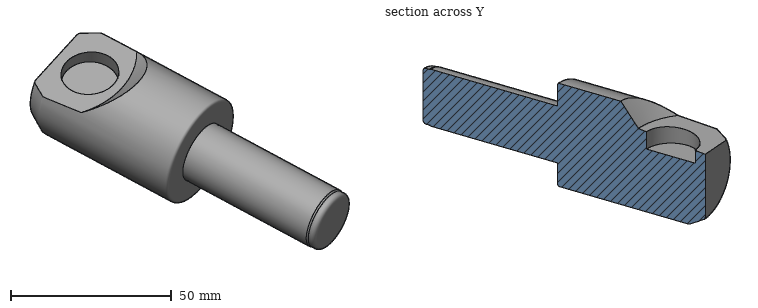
import cadquery as cq
import math

total_length = 105.0
head_length = 55.0
head_radius = 36.0 / 2
head_back_round = 0.8

nose_face_radius = 14.5
nose_taper_angle = 30.0
nose_edge_round = 1.5
nose_shoulder_round = 1.2

shank_radius = 20.0 / 2
tip_radius = 19.5 / 2
tip_length = 2.5
tip_step_length = 0.6
tip_round = 1.3

seat_front_height = 8.1
seat_tilt = 5.0
seat_center_x = -0.7
seat_radius = 25.7
seat_wall_angle = 45.0
seat_cut_height = 21.0

pocket_x = 12.8
pocket_radius = 18.0 / 2
pocket_floor_height = 4.0
pocket_top_height = head_radius


def make_turned_body():
    """Revolve the half profile of head and shank about the X axis."""
    slab_margin = 0.05
    taper_length = (head_radius - nose_face_radius) / math.tan(math.radians(nose_taper_angle))
    tip_start = total_length - tip_length
    profile = [
        (0, 0),
        (0, nose_face_radius),
        (taper_length, head_radius),
        (head_length, head_radius),
        (head_length, shank_radius),
        (tip_start - tip_step_length, shank_radius),
        (tip_start, tip_radius),
        (total_length, tip_radius),
        (total_length, 0),
    ]
    body = cq.Workplane("XY").polyline(profile).close().revolve(360, (0, 0, 0), (1, 0, 0))

    edge_rounds = [
        (0, nose_face_radius, nose_edge_round),
        (taper_length, head_radius, nose_shoulder_round),
        (head_length, head_radius, head_back_round),
        (total_length, tip_radius, tip_round),
    ]
    for edge_x, edge_radius, edge_round in edge_rounds:
        reach = edge_radius + slab_margin
        slab = cq.selectors.BoxSelector(
            (edge_x - slab_margin, -reach, -reach),
            (edge_x + slab_margin, reach, reach),
            boundingbox=True,
        )
        circles = body.edges(slab).edges("%CIRCLE")
        body = circles.edges(cq.selectors.RadiusNthSelector(-1)).fillet(edge_round)
    return body


def make_seat_cutter():
    """Cone that widens upwards from the tilted seat."""
    tilt = math.radians(seat_tilt)
    seat_plane = cq.Plane(
        origin=(seat_center_x, 0, seat_front_height + seat_center_x * math.tan(tilt)),
        xDir=(math.cos(tilt), 0, math.sin(tilt)),
        normal=(-math.sin(tilt), 0, math.cos(tilt)),
    )
    return (
        cq.Workplane(seat_plane)
        .circle(seat_radius)
        .extrude(seat_cut_height, taper=-seat_wall_angle)
    )


def make_pocket_cutter():
    return (
        cq.Workplane("XY", origin=(pocket_x, 0, pocket_floor_height))
        .circle(pocket_radius)
        .extrude(pocket_top_height - pocket_floor_height)
    )


result = make_turned_body().cut(make_seat_cutter()).cut(make_pocket_cutter())